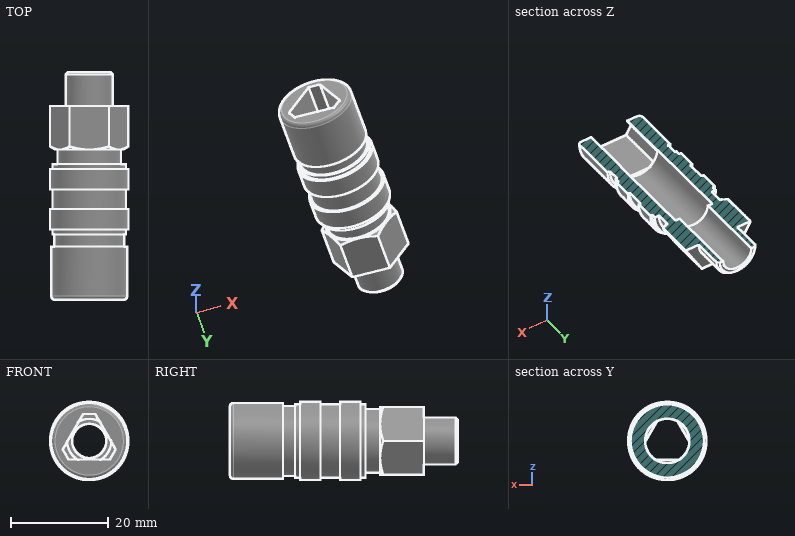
import cadquery as cq
import math

total_length = 47.0
collar_end = 11.0
groove_end = 13.5
sleeve_end = 28.0
neck_end = 31.0
hex_end = 40.0

collar_diameter = 15.7
groove_diameter = 14.5
sleeve_diameter = 15.2
ring_diameter = 16.2
neck_diameter = 13.2
spigot_diameter = 9.73

ring_inset = 1.0
ring_width = 4.25

hex_across_flats = 14.0
hex_corners = 6
hex_chamfer_angle = math.radians(30)

collar_fillet = 0.8
spigot_chamfer = 0.5

socket_corners = 3
socket_inradius = 3.85
socket_corner_distance = 5.6
socket_depth = collar_end
inner_bore_diameter = 9.1
inner_bore_end = neck_end
through_bore_diameter = 7.0


def xz_plane(y):
    """Sketch plane at station y, with local x along X and local y along Z."""
    return cq.Workplane("XZ", origin=(0, y, 0))


def cylinder(diameter, start, end):
    """Solid cylinder on the Y axis between two stations."""
    return xz_plane(start).circle(diameter / 2).extrude(start - end)


def make_collar():
    return cylinder(collar_diameter, 0, collar_end).faces("<Y").edges().fillet(collar_fillet)


def make_sleeve():
    sleeve = cylinder(sleeve_diameter, groove_end, sleeve_end)
    first_start = groove_end + ring_inset
    last_start = sleeve_end - ring_inset - ring_width
    for start in (first_start, last_start):
        sleeve = sleeve.union(cylinder(ring_diameter, start, start + ring_width))
    return sleeve


def make_hexagon():
    """Hexagon whose corners are turned to a cone on the side facing the neck."""
    flat_radius = hex_across_flats / 2
    across_corners = hex_across_flats / math.cos(math.pi / hex_corners)
    cone_radius = across_corners
    cone_length = (cone_radius - flat_radius) * math.tan(hex_chamfer_angle)
    hexagon = xz_plane(neck_end).polygon(hex_corners, across_corners).extrude(neck_end - hex_end)
    envelope = (
        cq.Workplane("XY")
        .moveTo(0, neck_end)
        .lineTo(flat_radius, neck_end)
        .lineTo(cone_radius, neck_end + cone_length)
        .lineTo(cone_radius, hex_end)
        .lineTo(0, hex_end)
        .close()
        .revolve(360, (0, 0, 0), (0, 1, 0))
    )
    return hexagon.intersect(envelope)


def make_spigot():
    return cylinder(spigot_diameter, hex_end, total_length).faces(">Y").edges().chamfer(spigot_chamfer)


def make_socket():
    """Triangle pointing to +Z, each corner cut off square to its bisector."""
    half_corner_angle = math.pi / 6
    apex_distance = socket_inradius / math.sin(half_corner_angle)
    corner_half_width = (apex_distance - socket_corner_distance) * math.tan(half_corner_angle)
    points = []
    for corner in range(socket_corners):
        bisector = math.pi / 2 + corner * 2 * math.pi / socket_corners
        for side in (-corner_half_width, corner_half_width):
            x = socket_corner_distance * math.cos(bisector) - side * math.sin(bisector)
            z = socket_corner_distance * math.sin(bisector) + side * math.cos(bisector)
            points.append((x, z))
    return xz_plane(0).polyline(points).close().extrude(-socket_depth)


body = (
    make_collar()
    .union(cylinder(groove_diameter, collar_end, groove_end))
    .union(make_sleeve())
    .union(cylinder(neck_diameter, sleeve_end, neck_end))
    .union(make_hexagon())
    .union(make_spigot())
)

result = (
    body.cut(make_socket())
    .cut(cylinder(inner_bore_diameter, socket_depth, inner_bore_end))
    .cut(cylinder(through_bore_diameter, inner_bore_end, total_length))
)